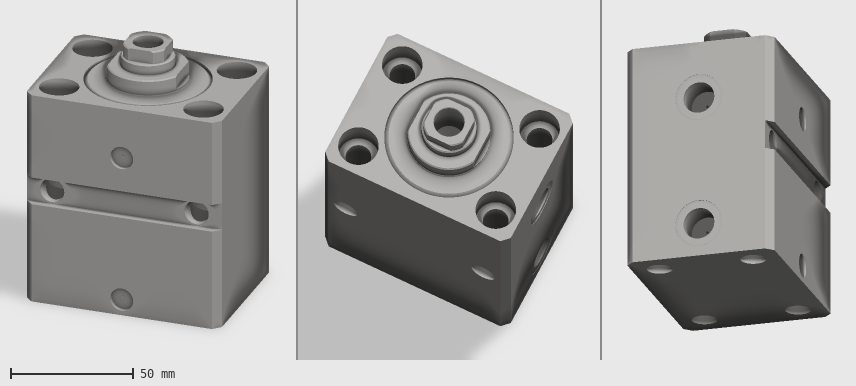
import cadquery as cq
import math

block_width = 85.0
block_depth = 63.0
block_height = 93.0
corner_chamfer = 3.2
left_face_x = -block_width / 2
front_face_y = -block_depth / 2

slot_height = 12.0
slot_depth = corner_chamfer
slot_centre_z = 49.9

mount_hole_diameter = 10.5
mount_hole_x = 31.4
mount_hole_y = 20.0
counterbore_diameter = 16.6
counterbore_depth = 12.1

side_port_heights = (14.1, 68.9)
side_port_diameter = 13.2
side_port_depth = 12.0
spotface_diameter = 20.0
spotface_depth = 0.2

front_port_heights = ((7.0, 7.6), (70.9, 70.9))
front_port_diameter = 10.0
front_port_depth = 2.0

feed_hole_diameter = 1.1
feed_hole_depth = 2.2

gland_diameter = 53.0
gland_thickness = 15.0
gland_chamfer = 1.6
gland_bottom_z = block_height - gland_thickness
wiper_lip_diameter = 35.0
wiper_lip_height = 0.3
lip_top_z = block_height + wiper_lip_height

total_height = 109.9
rod_diameter = 33.8
rod_flat_width = 30.0
rod_flat_bottom_z = 94.0
rod_shoulder_z = 99.9
neck_diameter = 22.4
neck_groove_width = 0.3
neck_top_z = 104.3
tip_diameter = 21.0
tip_square = 18.0
edge_chamfer = 0.5
rod_bore_diameter = 12.5
rod_bore_chamfer = 0.3
rod_bore_depth = 19.8
drill_point_angle = 118.0


def cylinder(diameter, bottom_z, top_z):
    """Upright cylinder on the Z axis."""
    return cq.Workplane("XY").workplane(offset=bottom_z).circle(diameter / 2).extrude(top_z - bottom_z)


def cylinder_along_x(diameter, start_x, length, z):
    """Cylinder in the Y = 0 plane, running towards +X."""
    return cq.Workplane("YZ", origin=(start_x, 0, z)).circle(diameter / 2).extrude(length)


def cylinder_along_y(diameter, start_y, length, x, z):
    """Cylinder running towards +Y."""
    return cq.Workplane("XZ", origin=(x, start_y, z)).circle(diameter / 2).extrude(-length)


def make_block():
    """Block with chamfered vertical edges and the cross slot."""
    block = cq.Workplane("XY").box(block_width, block_depth, block_height, centered=(True, True, False))
    block = block.edges("|Z").chamfer(corner_chamfer)
    slot = cq.Workplane("XY").box(block_width, 2 * slot_depth, slot_height)
    return block.cut(slot.translate((0, front_face_y, slot_centre_z)))


def cut_mounting_holes(block):
    """Counterbored vertical holes and plain horizontal holes."""
    block = (
        block.faces(">Z")
        .workplane(origin=(0, 0, block_height))
        .rect(2 * mount_hole_x, 2 * mount_hole_y, forConstruction=True)
        .vertices()
        .cboreHole(mount_hole_diameter, counterbore_diameter, counterbore_depth)
    )
    for x in (-mount_hole_x, mount_hole_x):
        block = block.cut(cylinder_along_y(mount_hole_diameter, front_face_y, block_depth, x, slot_centre_z))
    return block


def cut_side_ports(block):
    """Spotfaced ports in the left face, each with a feed hole."""
    floor_x = left_face_x + side_port_depth
    for z in side_port_heights:
        block = block.cut(cylinder_along_x(spotface_diameter, left_face_x, spotface_depth, z))
        block = block.cut(cylinder_along_x(side_port_diameter, left_face_x, side_port_depth, z))
        block = block.cut(cylinder_along_x(feed_hole_diameter, floor_x, feed_hole_depth, z))
    return block


def cut_front_ports(block):
    """Shallow ports in the front face, each with a feed hole."""
    floor_y = front_face_y + front_port_depth
    for port_z, feed_z in front_port_heights:
        block = block.cut(cylinder_along_y(front_port_diameter, front_face_y, front_port_depth, 0, port_z))
        block = block.cut(cylinder_along_y(feed_hole_diameter, floor_y, feed_hole_depth, 0, feed_z))
    return block


def make_housing():
    housing = cut_mounting_holes(make_block())
    housing = cut_side_ports(housing)
    housing = cut_front_ports(housing)
    return housing.cut(cylinder(gland_diameter, gland_bottom_z, block_height))


def make_gland():
    gland = cylinder(gland_diameter, gland_bottom_z, block_height).faces(">Z").chamfer(gland_chamfer)
    lip = cylinder(wiper_lip_diameter, gland_bottom_z, lip_top_z).faces(">Z").chamfer(wiper_lip_height)
    return gland.union(lip).cut(cylinder(rod_diameter, gland_bottom_z, lip_top_z))


def make_rod_shaft():
    """Main diameter with two wrench flats facing -X and +X."""
    shaft = cylinder(rod_diameter, gland_bottom_z, rod_shoulder_z).faces(">Z").chamfer(edge_chamfer)
    flat_height = rod_shoulder_z - rod_flat_bottom_z
    flat_zone = cylinder(2 * rod_diameter, rod_flat_bottom_z, rod_shoulder_z)
    kept = cq.Workplane("XY").box(rod_flat_width, rod_diameter, flat_height, centered=(True, True, False))
    return shaft.cut(flat_zone.cut(kept.translate((0, 0, rod_flat_bottom_z))))


def make_rod_tip():
    """Square tip with corners rounded to the tip diameter."""
    tip = cylinder(tip_diameter, neck_top_z, total_height).faces(">Z").chamfer(edge_chamfer)
    square = cq.Workplane("XY").box(tip_square, tip_square, total_height, centered=(True, True, False))
    return tip.intersect(square)


def make_rod_bore():
    """Blind drilled hole with a chamfered mouth and a conical bottom."""
    radius = rod_bore_diameter / 2
    point_depth = radius / math.tan(math.radians(drill_point_angle / 2))
    floor_z = total_height - rod_bore_depth
    profile = (
        cq.Workplane("XZ")
        .moveTo(0, total_height)
        .lineTo(radius + rod_bore_chamfer, total_height)
        .lineTo(radius, total_height - rod_bore_chamfer)
        .lineTo(radius, floor_z)
        .lineTo(0, floor_z - point_depth)
        .close()
    )
    return profile.revolve(360, (0, 0, 0), (0, 1, 0))


def cut_neck_groove(shaft):
    """Countersink in the shoulder, which the neck turns into a V-shaped ring groove."""
    neck_radius = neck_diameter / 2
    countersink = cq.Solid.makeCone(
        neck_radius,
        neck_radius + neck_groove_width,
        neck_groove_width,
        pnt=cq.Vector(0, 0, rod_shoulder_z - neck_groove_width),
    )
    return shaft.cut(cq.Workplane(countersink))


def make_rod():
    neck_bottom_z = rod_shoulder_z - neck_groove_width
    neck = cylinder(neck_diameter, neck_bottom_z, neck_top_z).faces(">Z").chamfer(edge_chamfer)
    rod = cut_neck_groove(make_rod_shaft()).union(neck).union(make_rod_tip())
    return rod.cut(make_rod_bore())


housing = make_housing()
gland = make_gland()
rod = make_rod()

result = cq.Compound.makeCompound([housing.val(), gland.val(), rod.val()])